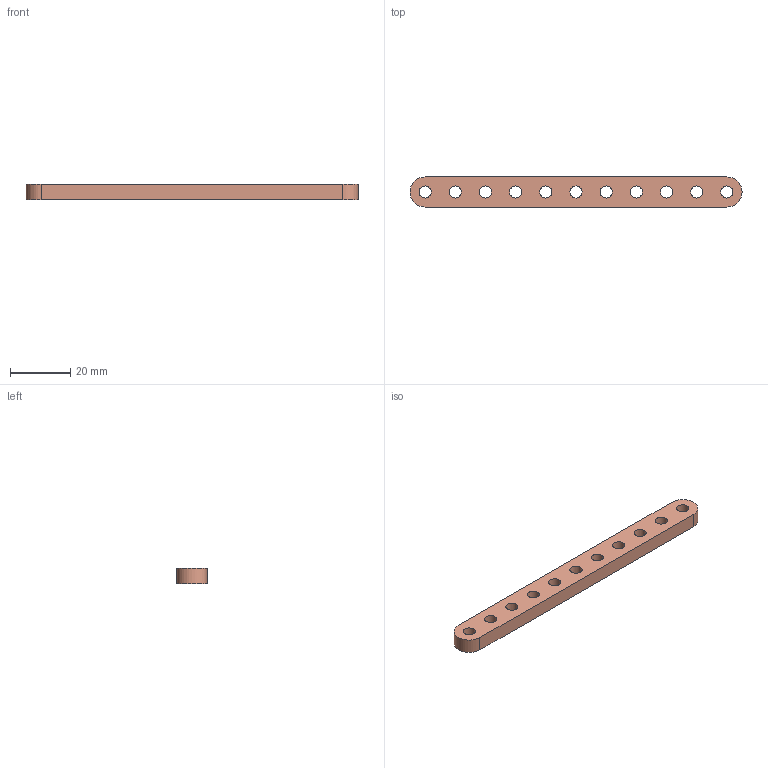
import cadquery as cq

hole_count = 11
hole_pitch = 10.0
hole_diameter = 4.0
bar_width = 10.0
bar_thickness = 5.0

hole_span = (hole_count - 1) * hole_pitch
bar_length = hole_span + bar_width


def make_bar():
    """Flat bar with full-radius ends, centred on the origin in X and Y."""
    return cq.Workplane("XY").slot2D(bar_length, bar_width).extrude(bar_thickness)


def drill_holes(bar):
    """Row of equally spaced through holes along the bar's centreline."""
    return (
        bar.faces(">Z")
        .workplane(origin=(0, 0, bar_thickness))
        .rarray(hole_pitch, bar_width, hole_count, 1)
        .hole(hole_diameter)
    )


result = drill_holes(make_bar())